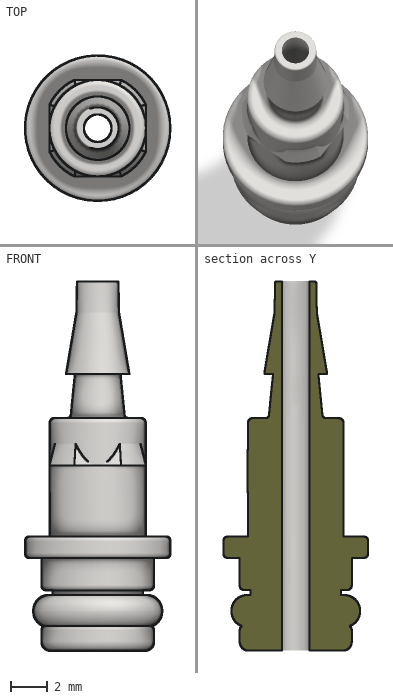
import cadquery as cq

total_height = 20.3
bore_diameter = 1.5

plug_diameter = 6.2
plug_foot_top = 1.4
plug_foot_round = 0.5
groove_diameter = 5.0
groove_top = 3.33
land_round = 0.26
ring_outer_diameter = 7.1
ring_section_radius = 0.9
ring_height = 2.2

flange_diameter = 8.0
flange_bottom = 5.1
flange_top = 6.3
flange_round = 0.26

body_diameter = 5.3
body_top = 12.8
body_round = 0.3

collar_diameter = 5.89
collar_bottom = 10.2
collar_top = 11.43
collar_taper = 14.0

neck_base_diameter = 2.96
neck_top_diameter = 2.52
neck_fillet = 0.16
barb_bottom = 15.2
barb_diameter = 3.5
barb_taper_top = 18.57
barb_taper_top_diameter = 2.35
tip_diameter = 2.3
tip_round = 0.08


def cylinder(diameter, bottom, top):
    return cq.Workplane("XY").workplane(offset=bottom).circle(diameter / 2).extrude(top - bottom)


def make_plug():
    foot = cylinder(plug_diameter, 0, plug_foot_top)
    foot = foot.faces("<Z").edges().fillet(plug_foot_round)
    foot = foot.faces(">Z").edges().fillet(land_round)
    core = cylinder(groove_diameter, 0, flange_bottom)
    upper_land = cylinder(plug_diameter, groove_top, flange_bottom)
    upper_land = upper_land.faces("<Z").edges().fillet(land_round)
    return foot.union(core).union(upper_land)


def make_sealing_ring():
    section_center = ring_outer_diameter / 2 - ring_section_radius
    ring = cq.Solid.makeTorus(section_center, ring_section_radius, cq.Vector(0, 0, ring_height))
    return cq.Workplane(obj=ring)


def make_flange():
    flange = cylinder(flange_diameter, flange_bottom, flange_top)
    return flange.faces("<Z or >Z").edges().fillet(flange_round)


def make_body():
    body = cylinder(body_diameter, flange_bottom, body_top)
    return body.faces(">Z").edges().fillet(body_round)


def make_collar():
    height = collar_top - collar_bottom
    base = cq.Workplane("XY").workplane(offset=collar_bottom)
    cone = base.circle(collar_diameter / 2).extrude(height, taper=collar_taper)
    flats = base.rect(body_diameter, body_diameter).extrude(height, taper=collar_taper)
    return cone.intersect(flats)


def make_barb():
    """Revolve the neck, barb and tip about Z."""
    neck_base = neck_base_diameter / 2
    tip = tip_diameter / 2
    return (
        cq.Workplane("XZ")
        .moveTo(0, flange_top)
        .lineTo(neck_base + neck_fillet, flange_top)
        .lineTo(neck_base + neck_fillet, body_top)
        .radiusArc((neck_base, body_top + neck_fillet), neck_fillet)
        .lineTo(neck_top_diameter / 2, barb_bottom)
        .lineTo(barb_diameter / 2, barb_bottom)
        .lineTo(barb_taper_top_diameter / 2, barb_taper_top)
        .lineTo(tip, total_height - tip_round)
        .radiusArc((tip - tip_round, total_height), -tip_round)
        .lineTo(0, total_height)
        .close()
        .revolve(360, (0, 0), (0, 1))
    )


result = make_plug()
for section in (make_sealing_ring(), make_flange(), make_body(), make_collar(), make_barb()):
    result = result.union(section)
result = result.cut(cylinder(bore_diameter, 0, total_height))